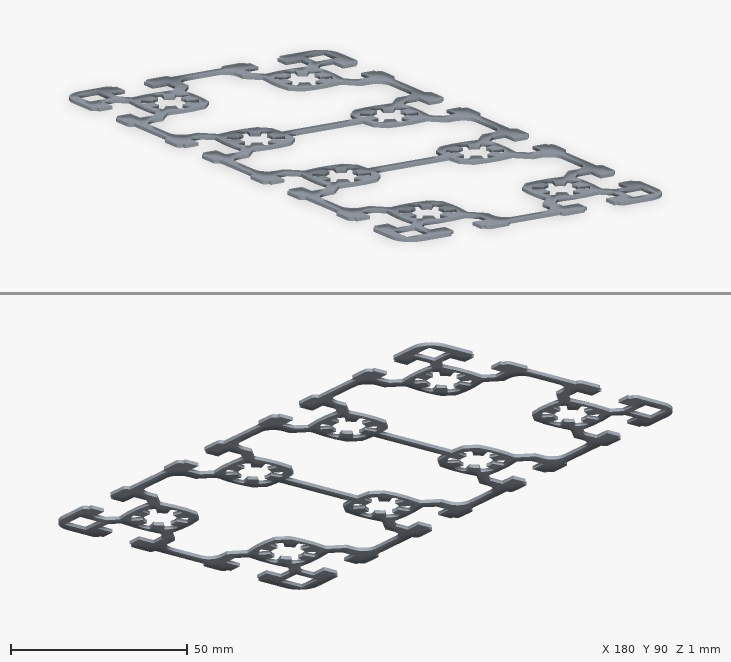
import cadquery as cq
import math

pitch = 45.0
columns = 4
rows = 2
thickness = 1.0
half_cell = pitch / 2
corner_radius = 6.5

wall = 2.9
wall_recess = 1.6
wall_outer = half_cell - wall_recess
wall_inner = wall_outer - wall
wall_fillet = 4.3

mouth_half = 4.7
lip_underside = 16.4
slot_half = 9.7
slot_shoulder = 12.0
floor_half = 7.0

pad_start = 5.8
pad_end = 13.7
pad_fillet = 1.3

housing_half = 13.3
housing_shoulder = 11.0

core_half = 9.2
core_bulge = 0.5
core_side_half = 6.1
core_crown = core_half + core_bulge

teeth = 6
bore_radius = 8.3
tooth_tip_radius = 4.9
tooth_tip_half = 1.5
tooth_root_half = 2.2
tooth_root_fillet = 0.5

hollow_size = 7.4
hollow_inset = 6.8
hollow_center = half_cell - hollow_inset


def plate(width, height, x=0.0, y=0.0):
    """Rectangular piece of the slice centred at (x, y)."""
    return cq.Workplane("XY").center(x, y).rect(width, height).extrude(thickness)


def place(shape, x, y, angle=0.0):
    """Turn a piece drawn around the origin and move it to (x, y)."""
    return shape.rotate((0, 0, 0), (0, 0, 1), angle).translate((x, y, 0))


def make_core():
    """Octagonal core whose four long sides bulge outwards."""
    a, b, c = core_half, core_side_half, core_crown
    return (
        cq.Workplane("XY")
        .moveTo(a, -b)
        .threePointArc((c, 0), (a, b))
        .lineTo(b, a)
        .threePointArc((0, c), (-b, a))
        .lineTo(-a, b)
        .threePointArc((-c, 0), (-a, -b))
        .lineTo(-b, -a)
        .threePointArc((0, -c), (b, -a))
        .close()
        .extrude(thickness)
    )


def make_housing():
    """Solid surround of a slot that opens towards +Y, with its two lip pads."""
    arm_drop = housing_half - core_half
    arm_end = housing_shoulder - arm_drop
    fillet_x = housing_half + wall_fillet
    fillet_y = wall_inner - wall_fillet
    mid = wall_fillet * math.sqrt(0.5)
    body = (
        cq.Workplane("XY")
        .moveTo(-core_half, core_side_half)
        .lineTo(core_half, core_side_half)
        .lineTo(core_half, arm_end)
        .lineTo(housing_half, housing_shoulder)
        .lineTo(housing_half, fillet_y)
        .threePointArc((fillet_x - mid, fillet_y + mid), (fillet_x, wall_inner))
        .lineTo(fillet_x, wall_outer)
        .lineTo(-fillet_x, wall_outer)
        .lineTo(-fillet_x, wall_inner)
        .threePointArc((mid - fillet_x, fillet_y + mid), (-housing_half, fillet_y))
        .lineTo(-housing_half, housing_shoulder)
        .lineTo(-core_half, arm_end)
        .close()
        .extrude(thickness)
    )
    pad_height = half_cell - lip_underside
    pad_middle = (pad_start + pad_end) / 2
    for side in (-1, 1):
        pad = plate(pad_end - pad_start, pad_height, side * pad_middle, half_cell - pad_height / 2)
        body = body.union(pad.edges("|Z and >Y").fillet(pad_fillet))
    return body


def make_slot():
    """T-slot void that opens towards +Y."""
    return (
        cq.Workplane("XY")
        .moveTo(-floor_half, core_half)
        .threePointArc((0, core_crown), (floor_half, core_half))
        .lineTo(slot_half, slot_shoulder)
        .lineTo(slot_half, lip_underside)
        .lineTo(mouth_half, lip_underside)
        .lineTo(mouth_half, half_cell)
        .lineTo(-mouth_half, half_cell)
        .lineTo(-mouth_half, lip_underside)
        .lineTo(-slot_half, lip_underside)
        .lineTo(-slot_half, slot_shoulder)
        .close()
        .extrude(thickness)
    )


def is_tooth_root(edge):
    """True for an edge on the bore wall rather than on a tooth tip."""
    center = edge.Center()
    return math.hypot(center.x, center.y) > (bore_radius + tooth_tip_radius) / 2


def make_bore():
    """Round bore with inward teeth, one of them pointing from +Y to the centre."""
    tip_y = math.sqrt(tooth_tip_radius**2 - tooth_tip_half**2)
    tooth = (
        cq.Workplane("XY")
        .moveTo(-tooth_tip_half, tip_y)
        .threePointArc((0, tooth_tip_radius), (tooth_tip_half, tip_y))
        .lineTo(tooth_root_half, bore_radius)
        .lineTo(-tooth_root_half, bore_radius)
        .close()
        .extrude(thickness)
    )
    disc = cq.Workplane("XY").circle(bore_radius).extrude(thickness)
    bore = place(disc, 0, 0, 90)
    for index in range(teeth):
        bore = bore.cut(place(tooth, 0, 0, index * 360 / teeth))
    return bore.edges("|Z").filter(is_tooth_root).fillet(tooth_root_fillet)


def make_corner():
    """Rounded block outside the (+X, +Y) corner core."""
    size = half_cell - housing_shoulder
    center = half_cell - size / 2
    block = plate(size, size, center, center)
    return block.edges("|Z and >X and >Y").fillet(corner_radius)


column_x = [pitch * (i - (columns - 1) / 2) for i in range(columns)]
row_y = [pitch * (j - (rows - 1) / 2) for j in range(rows)]
core_points = [(x, y) for x in column_x for y in row_y]

slots = [(x, row_y[-1], 0) for x in column_x] + [(x, row_y[0], 180) for x in column_x]
slots += [(column_x[0], y, 90) for y in row_y] + [(column_x[-1], y, 270) for y in row_y]

corners = [
    (column_x[-1], row_y[-1], 0),
    (column_x[0], row_y[-1], 90),
    (column_x[0], row_y[0], 180),
    (column_x[-1], row_y[0], 270),
]

wall_length_x = column_x[-1] - column_x[0]
wall_length_y = row_y[-1] - row_y[0]
wall_middle = (wall_outer + wall_inner) / 2
wall_x = column_x[-1] + wall_middle
wall_y = row_y[-1] + wall_middle
solids = []
for side in (-1, 1):
    solids.append(plate(wall_length_x, wall, 0, side * wall_y))
    solids.append(plate(wall, wall_length_y, side * wall_x, 0))

for x in column_x[1:-1]:
    solids.append(plate(wall, wall_length_y, x, 0))

core = make_core()
housing = make_housing()
corner = make_corner()
solids += [place(core, x, y) for x, y in core_points]
solids += [place(housing, x, y, angle) for x, y, angle in slots]
solids += [place(corner, x, y, angle) for x, y, angle in corners]

slot = make_slot()
bore = make_bore()
hollow = plate(hollow_size, hollow_size, hollow_center, hollow_center)
voids = [place(slot, x, y, angle) for x, y, angle in slots]
voids += [place(bore, x, y) for x, y in core_points]
voids += [place(hollow, x, y, angle) for x, y, angle in corners]

result = solids[0]
for solid in solids[1:]:
    result = result.union(solid, clean=False)
result = result.clean()
for void in voids:
    result = result.cut(void, clean=False)
result = result.clean()